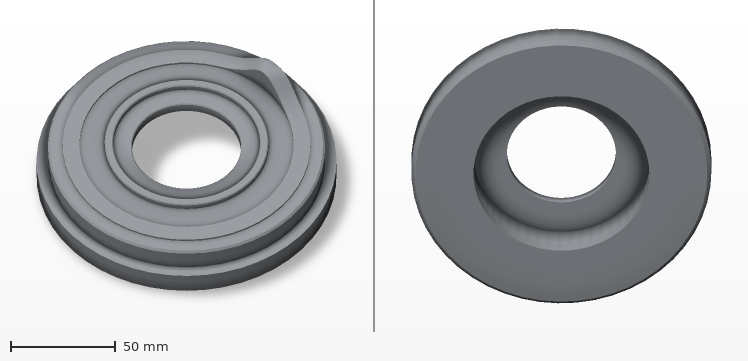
import cadquery as cq
import math

flange_radius = 71.5
flange_top = 13.0
flange_chamfer = 2.0
body_radius = 66.0
body_top = 24.0
body_chamfer = 1.0

track_outer_radius = 59.0
track_inner_radius = 51.0
track_top = 25.0

collar_outer_radius = 39.0
collar_inner_radius = 35.0
collar_top = 27.0
small_chamfer = 0.5

bore_radius = 26.0
pocket_radius = 41.9
pocket_depth = 19.0

lobe_top = 36.0
lobe_start_x = -8.2
lobe_foot_radius = 25.0
lobe_crest_radius = 10.0
lobe_slope = math.radians(36.5)
lobe_centre_angle = math.radians(20.0)


def disc(radius, bottom, top):
    return cq.Workplane("XY").workplane(offset=bottom).circle(radius).extrude(top - bottom)


def ring(outer_radius, inner_radius, bottom, top):
    return disc(outer_radius, bottom, top).cut(disc(inner_radius, bottom, top))


def stepped_body():
    flange = disc(flange_radius, 0, flange_top).faces("<Z").edges().chamfer(flange_chamfer)
    body = disc(body_radius, 0, body_top).faces(">Z").edges().chamfer(body_chamfer)
    return flange.union(body)


def track():
    return ring(track_outer_radius, track_inner_radius, flange_top, track_top)


def collar():
    blank = ring(collar_outer_radius, collar_inner_radius, flange_top, collar_top)
    return blank.faces(">Z").edges().chamfer(small_chamfer)


def bore_and_pocket():
    bore = disc(bore_radius, 0, body_top)
    pocket = disc(pocket_radius, 0, pocket_depth)
    mouth = (
        cq.Workplane("XY")
        .workplane(offset=body_top)
        .circle(bore_radius + small_chamfer)
        .workplane(offset=-small_chamfer)
        .circle(bore_radius)
        .loft(ruled=True)
    )
    return bore.union(pocket).union(mouth)


def lobe_flank():
    """Prism along +Y: concave foot, straight slope, convex crest, then level."""
    sin_slope = math.sin(lobe_slope)
    cos_slope = math.cos(lobe_slope)
    sin_half = math.sin(lobe_slope / 2)
    cos_half = math.cos(lobe_slope / 2)

    foot_end_x = lobe_start_x + lobe_foot_radius * sin_slope
    foot_end_z = track_top + lobe_foot_radius * (1 - cos_slope)
    crest_start_z = lobe_top - lobe_crest_radius * (1 - cos_slope)
    crest_start_x = foot_end_x + (crest_start_z - foot_end_z) / math.tan(lobe_slope)
    crest_end_x = crest_start_x + lobe_crest_radius * sin_slope

    foot_middle = (
        lobe_start_x + lobe_foot_radius * sin_half,
        track_top + lobe_foot_radius * (1 - cos_half),
    )
    crest_middle = (
        crest_end_x - lobe_crest_radius * sin_half,
        lobe_top - lobe_crest_radius * (1 - cos_half),
    )
    return (
        cq.Workplane("XZ")
        .moveTo(lobe_start_x, flange_top)
        .lineTo(lobe_start_x, track_top)
        .threePointArc(foot_middle, (foot_end_x, foot_end_z))
        .lineTo(crest_start_x, crest_start_z)
        .threePointArc(crest_middle, (crest_end_x, lobe_top))
        .lineTo(flange_radius, lobe_top)
        .lineTo(flange_radius, flange_top)
        .close()
        .extrude(-flange_radius)
    )


def lobe():
    """Part of the track ring lying below both flanks."""
    first_flank = lobe_flank()
    turn = -2 * math.degrees(lobe_centre_angle)
    second_flank = first_flank.mirror("YZ").rotate((0, 0, 0), (0, 0, 1), turn)
    blank = ring(track_outer_radius, track_inner_radius, flange_top, lobe_top)
    return blank.intersect(first_flank).intersect(second_flank)


result = stepped_body().union(track()).union(collar()).union(lobe()).cut(bore_and_pocket())